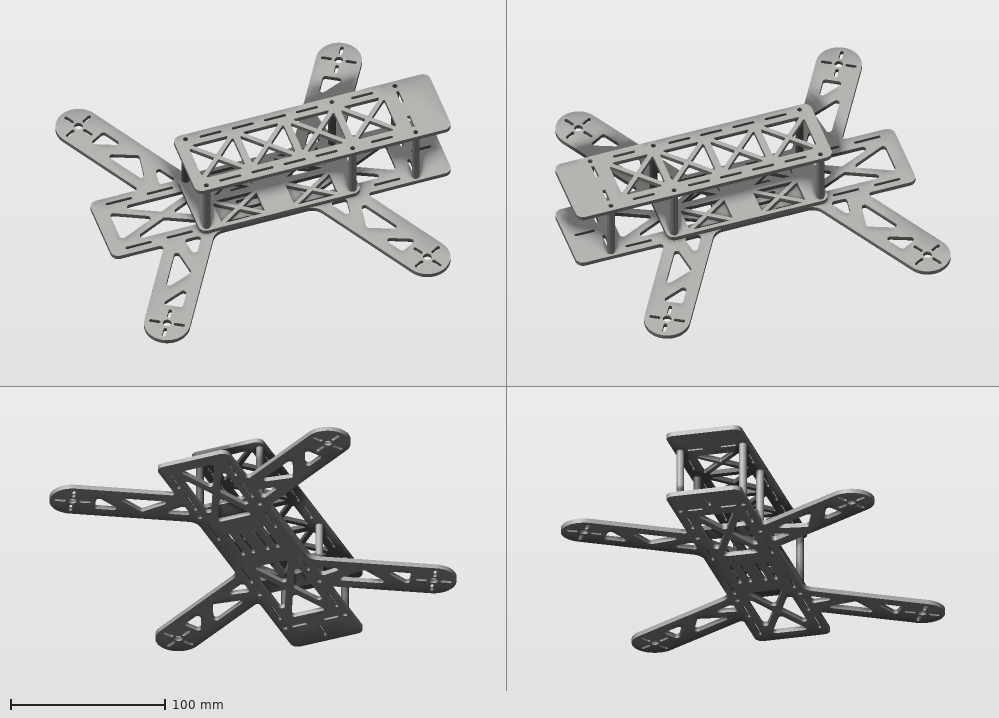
import cadquery as cq
import math

base_length = 232.0
arm_span = 209.0
plate_width = 50.0
plate_thickness = 3.0
corner_radius = 5.0

half_width = plate_width / 2
base_back = base_length / 2

long_standoff_length = 40.0
mid_bottom = plate_thickness
mid_top = mid_bottom + plate_thickness
top_bottom = plate_thickness + long_standoff_length

standoff_diameter = 5.0
screw_hole_diameter = 3.2
standoff_spacing_x = 42.0
standoff_x = standoff_spacing_x / 2
back_row_y = 92.0
middle_row_y = 49.0
front_row_y = -51.0
short_row_ys = [middle_row_y, front_row_y]
all_row_ys = [back_row_y] + short_row_ys

slot_width = 2.0
side_slot_x = 20.0
cross_slot_x = 11.1
cross_slot_length = 10.0

base_center_y = -12.0
base_window_offset = 61.7
base_window_width = 30.0
base_window_height = 65.0
base_strut = 4.6
base_window_radius = 2.0
base_side_slot_length = 18.0
base_side_slot_ys = [72.8, -69.0, -97.0]
inner_side_slot_length = 20.9
inner_side_slot_ys = [24.0, -31.3]
strap_slot_xs = [5.0, 12.0]
strap_slot_width = 2.5
strap_slot_length = 27.4
nose_slot_length = 14.0
nose_slot_y = 103.0

arm_angle = 30.0
arm_width = 30.0
arm_radius = arm_width / 2
arm_reach = 92.8
motor_x = arm_span / 2 - arm_radius
motor_spacing_y = 178.0
motor_offset_y = motor_spacing_y / 2
motor_hole_diameter = 5.5
motor_slot_radius = 8.1
motor_slot_length = 7.5
motor_slot_width = 2.3
crotch_radius = 2.0
root_radius = 10.0
arm_hole_radius = 2.0
arm_rail = 7.2
outer_window_start = 15.0
middle_window_center = 46.2
middle_window_half_length = 18.0
arm_strut = 8.1

mid_length = 110.0
mid_center_y = (middle_row_y + front_row_y) / 2
mid_window_width = 20.0
mid_window_height = 30.0
mid_window_x = 12.3
mid_window_offset = 24.8
mid_strut = 2.8

top_length = 175.0
top_center_y = base_back - top_length / 2
top_window_size = 30.0
top_window_first_y = 67.0
top_window_last_y = -36.5
top_window_count = 4
top_window_pitch = (top_window_first_y - top_window_last_y) / (top_window_count - 1)
top_strut = 3.0
top_window_radius = 0.7
top_slot_length = 15.0
top_slot_ys = [69.4, 31.5, 9.7, -12.3, -34.3]


def plate(length, center_y, bottom):
    return (
        cq.Workplane("XY", origin=(0, center_y, bottom))
        .rect(plate_width, length)
        .extrude(plate_thickness)
        .edges("|Z")
        .fillet(corner_radius)
    )


def prism(points, radius, bottom):
    """Cutter through one plate: a polygon whose corners are rounded, or sharp if the radius is 0."""
    cutter = cq.Workplane("XY", origin=(0, 0, bottom)).polyline(points).close().extrude(plate_thickness)
    if radius > 0:
        cutter = cutter.edges("|Z").fillet(radius)
    return cutter


def both_sides(x, ys):
    return [(side * x, y) for side in (-1, 1) for y in ys]


def cut_slots(body, centers, length, width, angle, bottom):
    cutter = (
        cq.Workplane("XY", origin=(0, 0, bottom))
        .pushPoints(centers)
        .slot2D(length, width, angle)
        .extrude(plate_thickness)
    )
    return body.cut(cutter)


def cut_cross_slots(body, bottom):
    cutter = (
        cq.Workplane("XY", origin=(0, 0, bottom))
        .pushPoints(both_sides(cross_slot_x, [back_row_y]))
        .rect(cross_slot_length, slot_width)
        .extrude(plate_thickness)
    )
    return body.cut(cutter)


def cut_screw_holes(body, row_ys, bottom):
    cutter = (
        cq.Workplane("XY", origin=(0, 0, bottom))
        .pushPoints(both_sides(standoff_x, row_ys))
        .circle(screw_hole_diameter / 2)
        .extrude(plate_thickness)
    )
    return body.cut(cutter)


def cut_braced_window(body, center, width, height, strut, radius, bottom):
    """Cut the four triangles that leave an X of struts in a rectangle."""
    center_x, center_y = center
    diagonal = math.hypot(width, height)
    gap_x = strut / 2 * diagonal / height
    gap_y = strut / 2 * diagonal / width
    for sign in (-1, 1):
        end_triangle = [
            (0, sign * gap_y),
            (width / 2 - gap_x, sign * height / 2),
            (gap_x - width / 2, sign * height / 2),
        ]
        side_triangle = [
            (sign * gap_x, 0),
            (sign * width / 2, height / 2 - gap_y),
            (sign * width / 2, gap_y - height / 2),
        ]
        for triangle in (end_triangle, side_triangle):
            points = [(center_x + x, center_y + y) for x, y in triangle]
            body = body.cut(prism(points, radius, bottom))
    return body


def arm_point(along, across):
    """Point measured from the motor toward the plate, and across the arm away from Y = 0."""
    angle = math.radians(arm_angle)
    x = motor_x - along * math.cos(angle) - across * math.sin(angle)
    y = motor_offset_y - along * math.sin(angle) + across * math.cos(angle)
    return (x, y)


def arm_blank():
    beam = [
        arm_point(0, arm_radius),
        arm_point(arm_reach, arm_radius),
        arm_point(arm_reach, -arm_radius),
        arm_point(0, -arm_radius),
    ]
    tip = cq.Workplane("XY").center(*arm_point(0, 0)).circle(arm_radius).extrude(plate_thickness)
    return cq.Workplane("XY").polyline(beam).close().extrude(plate_thickness).union(tip)


def arm_cutters():
    rail_slope = 2 * arm_rail / middle_window_half_length
    strut_shift = arm_strut / math.sin(math.atan(rail_slope))
    middle_start = middle_window_center - middle_window_half_length
    middle_end = middle_window_center + middle_window_half_length

    outer_end = middle_window_center - strut_shift
    outer_window = [
        arm_point(outer_window_start, -arm_rail),
        arm_point(outer_window_start, (outer_end - outer_window_start) * rail_slope - arm_rail),
        arm_point(outer_end, -arm_rail),
    ]
    middle_window = [
        arm_point(middle_start, arm_rail),
        arm_point(middle_end, arm_rail),
        arm_point(middle_window_center, -arm_rail),
    ]

    angle = math.radians(arm_angle)
    inner_start = middle_window_center + strut_shift
    inner_slope = math.atan(rail_slope)
    rail_end = (motor_x - half_width + arm_rail * math.sin(angle)) / math.cos(angle)
    start_point = arm_point(inner_start, -arm_rail)
    top_y = start_point[1] + (start_point[0] - half_width) * math.tan(inner_slope - angle)
    inner_window = [start_point, arm_point(rail_end, -arm_rail), (half_width, top_y)]

    cutters = [prism(w, arm_hole_radius, 0) for w in (outer_window, middle_window, inner_window)]
    motor_center = cq.Workplane("XY").center(*arm_point(0, 0))
    cutters.append(motor_center.circle(motor_hole_diameter / 2).extrude(plate_thickness))
    motor_slots = (
        motor_center.transformed(rotate=(0, 0, arm_angle))
        .polarArray(motor_slot_radius, 0, 360, 4)
        .slot2D(motor_slot_length, motor_slot_width)
        .extrude(plate_thickness)
    )
    cutters.append(motor_slots)
    return cutters


def on_four_corners(shape):
    """Copies of a shape mirrored about X = 0 and about the center line of the arms."""
    right = [shape, shape.mirror("XZ")]
    copies = right + [copy.mirror("YZ") for copy in right]
    return [copy.translate((0, base_center_y, 0)) for copy in copies]


def round_arm_roots(body):
    """Fillet the corners where the arm edges run into the sides of the plate."""
    angle = math.radians(arm_angle)
    for across, radius in ((arm_radius, crotch_radius), (-arm_radius, root_radius)):
        along = (motor_x - half_width - across * math.sin(angle)) / math.cos(angle)
        x, y = arm_point(along, across)
        for side in (-1, 1):
            for end in (-1, 1):
                corner = (side * x, base_center_y + end * y, plate_thickness / 2)
                body = body.edges(cq.selectors.NearestToPointSelector(corner)).fillet(radius)
    return body


def base_plate():
    body = plate(base_length, 0, 0)
    for arm in on_four_corners(arm_blank()):
        body = body.union(arm)
    body = round_arm_roots(body)
    for cutter in arm_cutters():
        for copy in on_four_corners(cutter):
            body = body.cut(copy)
    for end in (-1, 1):
        center = (0, base_center_y + end * base_window_offset)
        body = cut_braced_window(
            body, center, base_window_width, base_window_height, base_strut, base_window_radius, 0
        )
    outer_slots = both_sides(side_slot_x, base_side_slot_ys)
    body = cut_slots(body, outer_slots, base_side_slot_length, slot_width, 90, 0)
    inner_slots = both_sides(side_slot_x, inner_side_slot_ys)
    body = cut_slots(body, inner_slots, inner_side_slot_length, slot_width, 90, 0)
    for x in strap_slot_xs:
        strap_slots = both_sides(x, [base_center_y])
        body = cut_slots(body, strap_slots, strap_slot_length, strap_slot_width, 90, 0)
    body = cut_cross_slots(body, 0)
    body = cut_slots(body, [(0, nose_slot_y)], nose_slot_length, slot_width, 90, 0)
    return cut_screw_holes(body, all_row_ys, 0)


def mid_plate():
    body = plate(mid_length, mid_center_y, mid_bottom)
    window_ys = [mid_center_y - mid_window_offset, mid_center_y + mid_window_offset]
    for center in both_sides(mid_window_x, window_ys):
        body = cut_braced_window(
            body, center, mid_window_width, mid_window_height, mid_strut, 0, mid_bottom
        )
    return cut_screw_holes(body, short_row_ys, mid_bottom)


def top_plate():
    body = plate(top_length, top_center_y, top_bottom)
    for index in range(top_window_count):
        center = (0, top_window_first_y - index * top_window_pitch)
        body = cut_braced_window(
            body, center, top_window_size, top_window_size, top_strut, top_window_radius, top_bottom
        )
    side_slots = both_sides(side_slot_x, top_slot_ys)
    body = cut_slots(body, side_slots, top_slot_length, slot_width, 90, top_bottom)
    body = cut_cross_slots(body, top_bottom)
    return cut_screw_holes(body, all_row_ys, top_bottom)


def standoff(x, y, bottom):
    """Hollow post that reaches up to the top plate."""
    return (
        cq.Workplane("XY", origin=(x, y, bottom))
        .circle(standoff_diameter / 2)
        .circle(screw_hole_diameter / 2)
        .extrude(top_bottom - bottom)
    )


base = base_plate()
middle = mid_plate()
top = top_plate()
long_standoffs = [standoff(x, y, plate_thickness).val() for x, y in both_sides(standoff_x, [back_row_y])]
short_standoffs = [standoff(x, y, mid_top).val() for x, y in both_sides(standoff_x, short_row_ys)]

result = cq.Compound.makeCompound(
    [base.val(), middle.val(), top.val(), *long_standoffs, *short_standoffs]
)